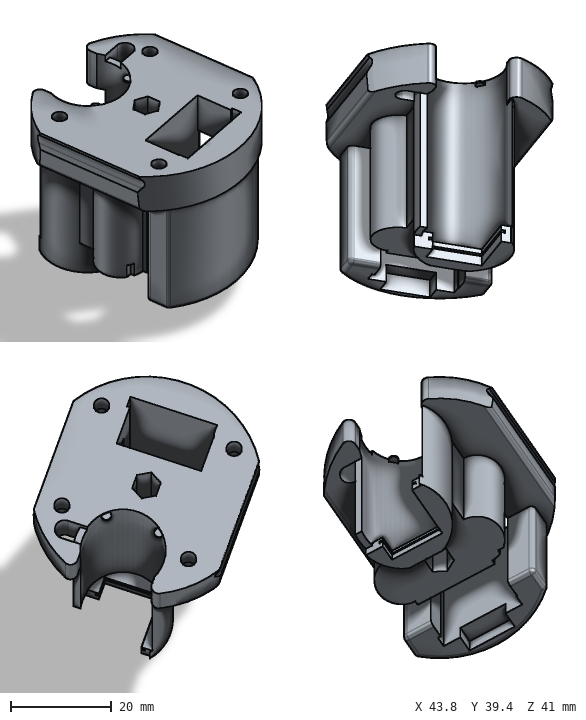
import cadquery as cq
import math


plate_radius = 22.97
plate_thickness = 8.75
plate_bottom = -plate_thickness
lobe_radius = 1.5
mouth_half_width = 7.8

flat_top = 19.55
groove_edge_top = 19.3
groove_bottom = 18.9
groove_edge_low = 19.2
ridge = 19.7
flat_low = 19.5
groove_start_depth = 0.88
groove_end_depth = 3.0
groove_mid_depth = (groove_start_depth + groove_end_depth) / 2
ridge_depth = 4.05
flat_edge_radius = 1.0

tube_x = -14.35
tube_radius = 10.0
bore_radius = 8.5
tube_bottom = -41.0
floor_top = -37.35
tube_mouth_half_width = 8.15
tube_foot_right = -5.15
floor_left = -20.1
floor_opening_right = -8.55
floor_opening_half_width = 5.85
floor_groove_top = -38.4
floor_groove_height = 0.53
floor_groove_depth = 0.8

slot_left = -16.0
slot_width = 3.85
slot_right = slot_left + slot_width
slot_end_y = 14.3
slot_ledge_depth = 1.5

block_half_width = 8.95
block_bottom = -33.65
post_radius = 5.5
post_y = 8.75
hex_corner_diameter = 5.8
notch_left = 4.08
notch_back_y = -11.15
notch_top = -30.7

window_left = 6.4
window_step_x = 14.45
window_right = 16.6
window_front_y = -9.3
window_back_y = 8.5
window_end_half_width = 9.1

guard_radius = 22.2
guard_left = 10.75
guard_half_width = 15.25
guard_bottom = -34.7
guard_fillet = 1.05
recess_top = -30.9
recess_back = 20.15
recess_half_width = 5.25

screw_hole_diameter = 3.05
screw_hole_depth = 6.15
screw_tip_depth = 0.88
screw_hole_places = [(-9.5, 14.5), (-11.95, -12.98), (12.98, 13.95), (12.98, -13.95)]

disc_diameter = 2.0
disc_thickness = 0.45
disc_top = -0.5
disc_x = -8.37
disc_half_spacing = 5.55

reach = 2 * plate_radius


def box(x_min, x_max, y_min, y_max, z_min, z_max):
    """Box between the given limits."""
    size = (x_max - x_min, y_max - y_min, z_max - z_min)
    return cq.Workplane("XY").box(*size, centered=False).translate((x_min, y_min, z_min))


def cylinder(x, y, radius, z_min, z_max):
    """Upright cylinder on the axis (x, y)."""
    return cq.Workplane("XY").workplane(offset=z_min).center(x, y).circle(radius).extrude(z_max - z_min)


def make_plate():
    """Round plate with a mouth on the -X side, trimmed to the grooved section of its flats."""
    lobe_y = mouth_half_width + lobe_radius
    lobe_distance = plate_radius - lobe_radius
    lobe_x = -math.sqrt(lobe_distance**2 - lobe_y**2)
    meet_x = lobe_x * plate_radius / lobe_distance
    meet_y = lobe_y * plate_radius / lobe_distance
    tip_x = lobe_x - lobe_radius
    disc = (
        cq.Workplane("XY")
        .moveTo(meet_x, meet_y)
        .threePointArc((plate_radius, 0), (meet_x, -meet_y))
        .threePointArc((tip_x, -lobe_y), (lobe_x, -mouth_half_width))
        .lineTo(tube_x, -mouth_half_width)
        .lineTo(tube_x, mouth_half_width)
        .lineTo(lobe_x, mouth_half_width)
        .threePointArc((tip_x, lobe_y), (meet_x, meet_y))
        .close()
        .extrude(plate_bottom)
    )
    edge_start = plate_bottom + flat_edge_radius
    edge_inset = flat_low - flat_edge_radius
    edge_middle = flat_edge_radius * math.sqrt(0.5)
    section = (
        cq.Workplane("YZ")
        .moveTo(0, 0)
        .lineTo(flat_top, 0)
        .lineTo(groove_edge_top, -groove_start_depth)
        .threePointArc((groove_bottom, -groove_mid_depth), (groove_edge_low, -groove_end_depth))
        .lineTo(ridge, -ridge_depth)
        .lineTo(flat_low, edge_start)
        .threePointArc((edge_inset + edge_middle, edge_start - edge_middle), (edge_inset, plate_bottom))
        .lineTo(0, plate_bottom)
        .close()
        .extrude(reach, both=True)
    )
    return disc.intersect(section.union(section.mirror("XZ")))


def make_tube():
    """Solid shape of the tube, flat on its +X side below the block."""
    tube = cylinder(tube_x, 0, tube_radius, tube_bottom, plate_bottom)
    return tube.cut(box(tube_foot_right, reach, -reach, reach, tube_bottom, block_bottom))


def make_block():
    """Middle block with a round post on each of its Y sides."""
    block = box(tube_x, window_left, -block_half_width, block_half_width, block_bottom, plate_bottom)
    for side in (-1, 1):
        block = block.union(cylinder(0, side * post_y, post_radius, block_bottom, plate_bottom))
    notch = box(notch_left, post_radius, -reach, notch_back_y, block_bottom, notch_top)
    return block.cut(notch)


def make_guard():
    """Two legs with rounded edges, joined by a web that is recessed on its inner side near the bottom."""
    guard = cylinder(0, 0, guard_radius, guard_bottom, plate_bottom).intersect(
        box(guard_left, reach, -guard_half_width, guard_half_width, guard_bottom, plate_bottom)
    )
    guard = guard.edges("|Z").fillet(guard_fillet)
    guard = guard.faces("<Z").edges().fillet(guard_fillet)
    return guard.cut(
        box(guard_left, recess_back, -recess_half_width, recess_half_width, guard_bottom, recess_top)
    )


def bore_cut():
    """Bore of the tube down to its floor, opened to the -X side below the plate."""
    bore = cylinder(tube_x, 0, bore_radius, floor_top, 0)
    mouth = box(-reach, tube_x, -tube_mouth_half_width, tube_mouth_half_width, floor_top, plate_bottom)
    return bore.union(mouth)


def wall_cut():
    """Removes the +Y wall of the tube beyond the slot, and its foot beneath the slot."""
    wall = box(-reach, slot_left, 0, reach, tube_bottom, plate_bottom)
    foot = box(-reach, slot_right, 0, reach, tube_bottom, floor_groove_top)
    inside = cylinder(tube_x, 0, bore_radius, floor_groove_top, floor_top)
    inside = inside.intersect(box(-reach, slot_right, 0, reach, floor_groove_top, floor_top))
    return wall.union(foot).union(inside)


def floor_cut():
    """Rectangular opening in the floor, with a groove around its rim and a flat -X end."""
    opening = box(
        -reach, floor_opening_right, -floor_opening_half_width, floor_opening_half_width,
        tube_bottom, floor_top,
    )
    groove_half_width = floor_opening_half_width + floor_groove_depth
    groove = box(
        -reach, floor_opening_right + floor_groove_depth, -groove_half_width, groove_half_width,
        floor_groove_top - floor_groove_height, floor_groove_top,
    )
    end = box(-reach, floor_left, -mouth_half_width, reach, tube_bottom, floor_top)
    return opening.union(groove).union(end)


def slot_cut():
    """Slot through the plate beside the tube, and shallow across the wall of the tube."""
    end_radius = slot_width / 2
    end_y = slot_end_y - end_radius
    slot = box(slot_left, slot_right, 0, end_y, plate_bottom, 0)
    slot = slot.union(cylinder(slot_left + end_radius, end_y, end_radius, plate_bottom, 0))
    return slot.cut(cylinder(tube_x, 0, tube_radius, plate_bottom, -slot_ledge_depth))


def window_cut():
    """Stepped rectangular window through the full height."""
    main = box(window_left, window_step_x, window_front_y, window_back_y, guard_bottom, 0)
    wide_end = box(
        window_step_x, window_right, -window_end_half_width, window_end_half_width, guard_bottom, 0
    )
    return main.union(wide_end)


def hex_cut():
    """Hexagonal hole through the plate and the block."""
    return cq.Workplane("XY").polygon(6, hex_corner_diameter).extrude(block_bottom)


def screw_hole(x, y):
    """Blind hole with a conical tip."""
    radius = screw_hole_diameter / 2
    tip = -screw_hole_depth - screw_tip_depth
    return (
        cq.Workplane("XZ")
        .polyline([(0, 0), (radius, 0), (radius, -screw_hole_depth), (0, tip)])
        .close()
        .revolve(360, (0, 0, 0), (0, 1, 0))
        .translate((x, y, 0))
    )


def make_disc(side):
    """Retaining disc, partly sunk in the wall of the bore, on the given Y side."""
    return cylinder(
        disc_x, side * disc_half_spacing, disc_diameter / 2, disc_top - disc_thickness, disc_top
    )


def make_housing(discs):
    """Plate, tube, block and guard in one piece, with a recess for each retaining disc."""
    housing = make_plate().union(make_tube()).union(make_block()).union(make_guard())
    for cut in (bore_cut(), wall_cut(), floor_cut(), slot_cut(), window_cut(), hex_cut()):
        housing = housing.cut(cut)
    for x, y in screw_hole_places:
        housing = housing.cut(screw_hole(x, y))
    for disc in discs:
        housing = housing.cut(disc)
    return housing.solids()


retaining_discs = [make_disc(side) for side in (-1, 1)]
housing = make_housing(retaining_discs)

result = cq.Compound.makeCompound([housing.val(), *[disc.val() for disc in retaining_discs]])